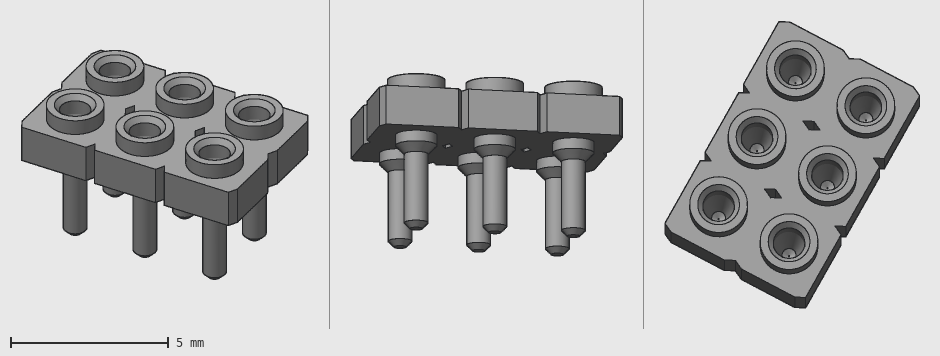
import cadquery as cq

columns = 3
rows = 2

length = 7.85
width = 5.08
thickness = 1.26
pitch = width / rows
notch_half_x = 0.16
notch_half_y = 0.31

flange_diameter = 1.83
flange_height = 0.52
barrel_diameter = 1.32
barrel_drop = 0.345
pin_diameter = 0.76
tip_diameter = 0.39
total_height = 4.83

mouth_diameter = 1.32
bore_diameter = 1.0
mouth_depth = 0.18
bore_length = 0.5
throat_diameter = 0.44
funnel_depth = 0.94
point_diameter = 0.04
point_depth = 0.13

flange_radius = flange_diameter / 2
barrel_radius = barrel_diameter / 2
pin_radius = pin_diameter / 2
tip_radius = tip_diameter / 2
mouth_radius = mouth_diameter / 2
bore_radius = bore_diameter / 2
throat_radius = throat_diameter / 2
point_radius = point_diameter / 2

top_z = thickness + flange_height
bottom_z = top_z - total_height
shoulder_top_z = -barrel_drop
shoulder_bottom_z = shoulder_top_z - (barrel_radius - pin_radius)
tip_z = bottom_z + (pin_radius - tip_radius)
bore_top_z = top_z - mouth_depth
bore_bottom_z = bore_top_z - bore_length
throat_z = bore_bottom_z - funnel_depth
point_z = throat_z - point_depth

column_xs = [(i - (columns - 1) / 2) * pitch for i in range(columns)]
row_ys = [(j - (rows - 1) / 2) * pitch for j in range(rows)]
contact_places = [(x, y) for x in column_xs for y in row_ys]

inner_notch_xs = [x + pitch / 2 for x in column_xs[:-1]]
notch_xs = [-length / 2, *inner_notch_xs, length / 2]
notch_ys = [(j - rows / 2) * pitch for j in range(rows + 1)]
notch_places = [(x, y) for x in notch_xs for y in notch_ys]


def diamond_cutter(x, y):
    """Upright diamond prism that cuts one notch through the plate."""
    return (
        cq.Workplane("XY")
        .center(x, y)
        .moveTo(-notch_half_x, 0)
        .lineTo(0, -notch_half_y)
        .lineTo(notch_half_x, 0)
        .lineTo(0, notch_half_y)
        .close()
        .extrude(thickness)
    )


def make_housing():
    """Plate with a barrel hole per contact and diamond notches at the cell corners."""
    plate = cq.Workplane("XY").box(length, width, thickness, centered=(True, True, False))
    barrel_holes = (
        cq.Workplane("XY")
        .pushPoints(contact_places)
        .circle(barrel_radius)
        .extrude(thickness)
    )
    plate = plate.cut(barrel_holes)
    for x, y in notch_places:
        plate = plate.cut(diamond_cutter(x, y))
    return plate


def make_contact(x, y):
    """Turned contact: flange on the plate, barrel through it, pin below, blind socket on top."""
    half_section = (
        cq.Workplane("XZ")
        .moveTo(0, bottom_z)
        .lineTo(tip_radius, bottom_z)
        .lineTo(pin_radius, tip_z)
        .lineTo(pin_radius, shoulder_bottom_z)
        .lineTo(barrel_radius, shoulder_top_z)
        .lineTo(barrel_radius, thickness)
        .lineTo(flange_radius, thickness)
        .lineTo(flange_radius, top_z)
        .lineTo(mouth_radius, top_z)
        .lineTo(bore_radius, bore_top_z)
        .lineTo(bore_radius, bore_bottom_z)
        .lineTo(throat_radius, throat_z)
        .lineTo(point_radius, point_z)
        .lineTo(0, point_z)
        .close()
    )
    return half_section.revolve(360, (0, 0, 0), (0, 1, 0)).translate((x, y, 0))


housing = make_housing()
contacts = [make_contact(x, y) for x, y in contact_places]

result = cq.Compound.makeCompound([housing.val(), *[contact.val() for contact in contacts]])